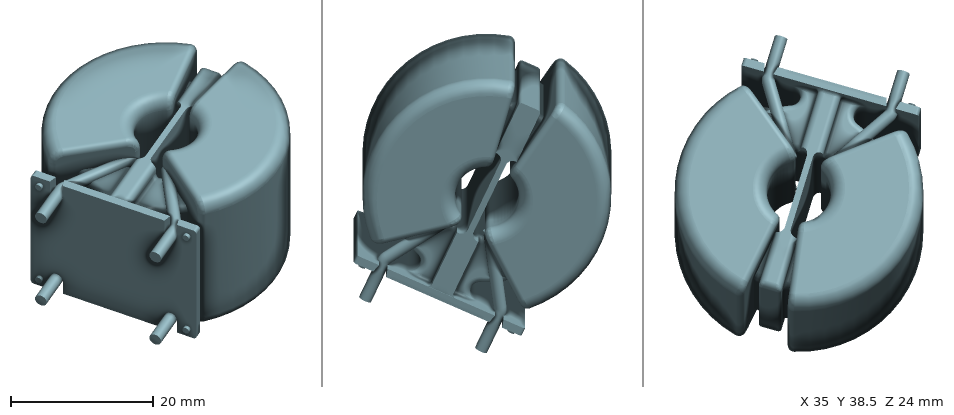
import cadquery as cq
import math

winding_diameter = 35.0
winding_bore = 4.5
winding_height = 24.0
winding_round = 2.0
face_edge_round = 0.92
wedge_apex = (0.08, -3.6)
upper_face_angle = 81.2
lower_face_angle = -38.8

core_radius = 13.55
core_bore = 6.65
core_height = 16.0
core_round = 0.95

neck_cove = 1.42

plate_back = -15.4
plate_thickness = 1.2
plate_width = 26.0
plate_height = 20.95
plate_corner = 0.5

peg_diameter = 1.05
peg_length = 0.5
peg_x = 11.55
peg_z = 9.0

post_width = 3.3
post_top = 10.05
post_bottom = -10.35
post_end = 14.7
post_round = 0.95
post_corner = 0.45
post_cove = 0.5
web_thickness = 0.9
window_corner = 1.0

lead_radius = 0.92
lead_x = 8.97
lead_z = 8.0
lead_tip = -21.52
lead_lean = 32.0
lead_bend_radius = 1.35
lead_run = 11.55

slot_front_width = 2.0
slot_back_width = 1.35

winding_radius = winding_diameter / 2
plate_front = plate_back - plate_thickness
sides = (-1, 1)
tolerance = 0.02


def slab(height):
    """Workplane at the bottom of a slab centred on Z = 0."""
    return cq.Workplane("XY", origin=(0, 0, -height / 2))


def box(width, y_start, y_end, height):
    return cq.Workplane("XY").box(width, y_end - y_start, height).translate((0, (y_start + y_end) / 2, 0))


def mirrored(body):
    return body.union(body.mirror("YZ"))


def wedge_point(angle):
    """Point on an end face line, outside the toroid."""
    reach = 4 * winding_radius
    a = math.radians(angle)
    return wedge_apex[0] + reach * math.cos(a), wedge_apex[1] + reach * math.sin(a)


def make_winding():
    """Winding on the +X side, with rounded borders around both end faces."""
    full_ring = slab(winding_height).circle(winding_radius).circle(winding_bore).extrude(winding_height)
    toroid = full_ring.edges("%CIRCLE").fillet(winding_round)
    wedge = slab(winding_height).polyline(
        [wedge_apex, wedge_point(lower_face_angle), wedge_point(upper_face_angle)]
    ).close().extrude(winding_height)
    sector = toroid.intersect(wedge)
    end_faces = sector.faces("%PLANE").faces("#Z")
    return end_faces.edges().fillet(face_edge_round)


def make_core():
    """Ring with a waisted neck down to the plate, softened along its flat faces."""
    cove_y = plate_back + neck_cove
    cove_x = math.sqrt((core_radius + neck_cove) ** 2 - cove_y ** 2)
    touch = core_radius / (core_radius + neck_cove)
    touch_x = cove_x * touch
    touch_y = cove_y * touch
    blank = (
        slab(core_height)
        .moveTo(-cove_x, plate_back)
        .threePointArc((-cove_x + neck_cove, cove_y), (-touch_x, touch_y))
        .threePointArc((0, core_radius), (touch_x, touch_y))
        .threePointArc((cove_x - neck_cove, cove_y), (cove_x, plate_back))
        .close()
        .extrude(core_height)
    )
    core = blank.cut(slab(core_height).circle(core_bore).extrude(core_height))
    return core.faces("|Z").edges("%CIRCLE").fillet(core_round)


def make_post():
    """Post through the core, rounded along its upper edges."""
    post = cq.Workplane("XY").box(
        post_width, post_end - plate_back, post_top - post_bottom, centered=(True, False, False)
    ).translate((0, plate_back, post_bottom))
    post = post.faces(">Y").edges("|Z").fillet(post_corner)
    return post.faces(">Z").edges(">Y or |Y").fillet(post_round)


def make_windows():
    """Cutters that clear the bore on both sides of the web."""
    bore = slab(plate_height).circle(core_bore).extrude(plate_height)
    window = bore.intersect(box(core_bore, -core_bore, core_bore, plate_height).translate(
        ((web_thickness + core_bore) / 2, 0, 0)
    ))
    return mirrored(window.edges("|Z").fillet(window_corner))


def make_plate():
    """Terminal plate with pegs and four tapered lead slots."""
    plate = box(plate_width, plate_front, plate_back, plate_height).edges("|Y").fillet(plate_corner)
    pegs = (
        cq.Workplane("XZ", origin=(0, plate_front, 0))
        .rect(2 * peg_x, 2 * peg_z, forConstruction=True)
        .vertices()
        .circle(peg_diameter / 2)
        .extrude(peg_length)
    )
    plate = plate.union(pegs)
    slot_depth = plate_height / 2 - lead_z
    for x_side in sides:
        for z_side in sides:
            slot = (
                cq.Workplane("XY", origin=(x_side * lead_x, 0, z_side * (lead_z + slot_depth / 2)))
                .polyline([
                    (-slot_front_width / 2, plate_front),
                    (slot_front_width / 2, plate_front),
                    (slot_back_width / 2, plate_back),
                    (-slot_back_width / 2, plate_back),
                ])
                .close()
                .extrude(slot_depth / 2, both=True)
            )
            plate = plate.cut(slot)
    return plate


def make_lead(z):
    """Lead on the +X side: straight through the plate, then leaning in toward its winding."""
    lean = math.radians(lead_lean)
    centre_x = lead_x - lead_bend_radius

    def on_bend(angle):
        return (
            centre_x + lead_bend_radius * math.cos(angle),
            plate_back + lead_bend_radius * math.sin(angle),
        )

    bend_x, bend_y = on_bend(lean)
    inner_end = (bend_x - lead_run * math.sin(lean), bend_y + lead_run * math.cos(lean))
    path = (
        cq.Workplane("XY", origin=(0, 0, z))
        .moveTo(lead_x, lead_tip)
        .lineTo(lead_x, plate_back)
        .threePointArc(on_bend(lean / 2), (bend_x, bend_y))
        .lineTo(*inner_end)
    )
    return cq.Workplane("XZ", origin=(lead_x, lead_tip, z)).circle(lead_radius).sweep(path)


def round_post_corners(body, y_end, z_top):
    """Put coves where the post meets the surface around it, up to the given Y and Z.

    The coves run on along edges that continue smoothly below the zone.
    The bottom edge of the post stays sharp.
    """
    half_width = post_width / 2 + post_cove + tolerance
    zone = cq.selectors.BoxSelector(
        (-half_width, plate_back - tolerance, -core_height / 2 - post_cove - tolerance),
        (half_width, y_end + tolerance, z_top + tolerance),
        boundingbox=True,
    )
    return body.edges(zone).fillet(post_cove)


frame = make_core().union(make_post())
frame = round_post_corners(frame, core_radius, core_height / 2)
frame = frame.cut(make_windows()).union(make_plate())
frame = round_post_corners(frame, plate_back, post_top)
result = frame.union(mirrored(make_winding()))
for z_side in sides:
    result = result.union(mirrored(make_lead(z_side * lead_z)))